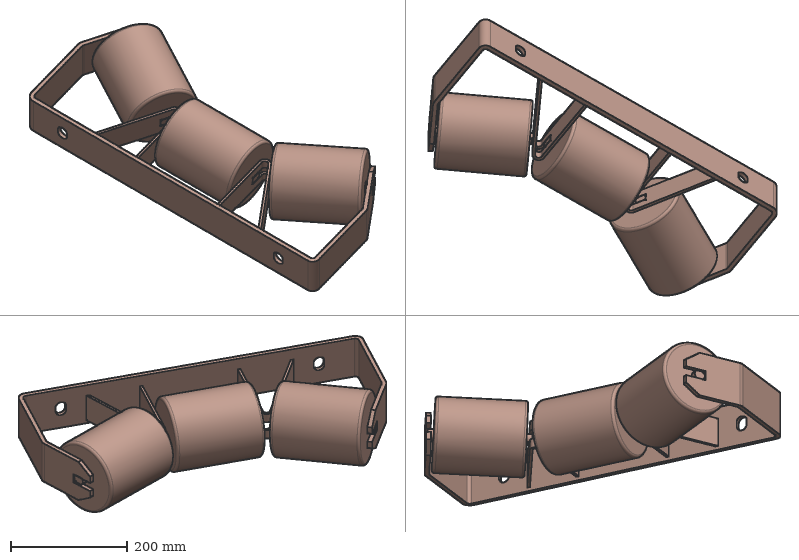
import cadquery as cq
import math

SPLAY = 30.0
SIN = math.sin(math.radians(SPLAY))
COS = math.cos(math.radians(SPLAY))
HALF_TAN = math.tan(math.radians(SPLAY / 2))

FRAME_LENGTH = 620.0
FRAME_HEIGHT = 80.0
FRAME_THICKNESS = 8.0
FRAME_BEND = 14.0
ARM_START = 152.5
ARM_LENGTH = 112.0
TIP_CHAMFER_LONG = 27.0
TIP_CHAMFER_SHORT = 18.0
MOUNT_SLOT_WIDTH = 19.0
MOUNT_SLOT_HEIGHT = 26.5
MOUNT_SLOT_X = 232.5

DRUM_DIAMETER = 132.5
DRUM_LENGTH = 160.0
DRUM_FILLET = 5.0
SHAFT_DIAMETER = 20.0
SHAFT_FLATS = 14.0
ROLLER_GAP = 5.5
SHOULDER_GAP = 2.0
MIDDLE_ROLLER_Y = 125.0
MIDDLE_ROLLER_Z = -7.5

BRACKET_THICKNESS = 5.0
BRACKET_HEIGHT = 51.5
BRACKET_CREST = 11.0
BRACKET_TOP = 153.0

SHAFT_SLOT_WIDTH = 17.0
SLOT_CUT_LENGTH = 124.0
SLOT_CUT_DEPTH = 18.5

SHAFT_LENGTH = DRUM_LENGTH + 2 * (ROLLER_GAP + BRACKET_THICKNESS)
FLATS_START = DRUM_LENGTH / 2 + ROLLER_GAP - SHOULDER_GAP
LEG_FACE_X = -(DRUM_LENGTH / 2 + ROLLER_GAP)
CREST_X = LEG_FACE_X - BRACKET_CREST
CREST_Y = BRACKET_TOP - BRACKET_CREST
ACROSS_TO_ROLLER = BRACKET_CREST + ROLLER_GAP + DRUM_LENGTH / 2
CREST_ABOVE_SHAFT = 15.0
ROLLER_X = CREST_X - ACROSS_TO_ROLLER * COS - CREST_ABOVE_SHAFT * SIN
ROLLER_Y = CREST_Y + ACROSS_TO_ROLLER * SIN - CREST_ABOVE_SHAFT * COS
ROLLER_Z = MIDDLE_ROLLER_Z / 2
TILT = math.degrees(math.asin(-MIDDLE_ROLLER_Z / SHAFT_LENGTH))


def bent_strip(centreline, bend_radius, thickness, height):
    """Sheet strip following a polyline in the XY plane, centred on Z = 0."""
    path = cq.Wire.makePolygon([cq.Vector(x, y, 0) for x, y in centreline]).fillet(bend_radius)
    start = path.startPoint()
    profile = cq.Plane(origin=start.toTuple(), xDir=(0, 0, 1), normal=path.tangentAt(0).toTuple())
    return cq.Workplane(profile).rect(height, thickness).sweep(cq.Workplane(path))


def shaft_slot(x, y, z, angle):
    """Cutter for a slot that the shaft drops into; it opens along +Y turned by angle about Z."""
    cutter = cq.Workplane("XY").box(
        SLOT_CUT_DEPTH, SLOT_CUT_LENGTH, SHAFT_SLOT_WIDTH, centered=(True, False, True))
    cutter = cutter.translate((0, -SHAFT_DIAMETER / 2, 0)).rotate((0, 0, 0), (0, 0, 1), angle)
    return cutter.translate((x, y, z))


def both_sides(left):
    return [left, left.mirror("YZ")]


def make_frame():
    half = FRAME_LENGTH / 2
    inset = FRAME_THICKNESS / 2
    bend_shift = inset * HALF_TAN
    side_x = half - inset
    bend_y = ARM_START - bend_shift
    arm_run = ARM_LENGTH - bend_shift
    tip_x = side_x - arm_run * SIN
    tip_y = bend_y + arm_run * COS
    right = [(side_x, inset), (side_x, bend_y), (tip_x, tip_y)]
    left = [(-x, y) for x, y in reversed(right)]
    frame = bent_strip(left + right, FRAME_BEND - inset, FRAME_THICKNESS, FRAME_HEIGHT)

    mount_slots = (
        cq.Workplane("XZ").pushPoints([(-MOUNT_SLOT_X, 0), (MOUNT_SLOT_X, 0)])
        .slot2D(MOUNT_SLOT_HEIGHT, MOUNT_SLOT_WIDTH, 90).extrude(FRAME_THICKNESS, both=True)
    )
    frame = frame.cut(mount_slots)

    edge = FRAME_HEIGHT / 2
    corner = cq.Workplane("YZ").polyline([
        (-TIP_CHAMFER_LONG, edge), (0, edge), (0, edge - TIP_CHAMFER_SHORT)]).close()
    corner = corner.extrude(FRAME_THICKNESS, both=True)
    corners = corner.union(corner.mirror("XY"))
    corners = corners.rotate((0, 0, 0), (0, 0, 1), -SPLAY).translate((-tip_x, tip_y, 0))
    seat_distance = DRUM_LENGTH / 2 + ROLLER_GAP + FRAME_THICKNESS / 2
    seat = shaft_slot(
        ROLLER_X - seat_distance * COS, ROLLER_Y + seat_distance * SIN, 0, -SPLAY)
    for cutter in both_sides(corners) + both_sides(seat):
        frame = frame.cut(cutter)
    return frame


def make_bracket():
    middle_radius = BRACKET_CREST - BRACKET_THICKNESS / 2
    apex_x = CREST_X + middle_radius
    apex_y = CREST_Y + middle_radius / HALF_TAN
    inclined_foot = (apex_x - apex_y * SIN / COS, 0)
    upright_foot = (apex_x, 0)
    bracket = bent_strip(
        [inclined_foot, (apex_x, apex_y), upright_foot],
        middle_radius, BRACKET_THICKNESS, BRACKET_HEIGHT)
    bracket = bracket.translate((0, 0, MIDDLE_ROLLER_Z))
    base_space = cq.Workplane("XY").box(FRAME_LENGTH, 2 * FRAME_THICKNESS, FRAME_LENGTH)
    seat_distance = DRUM_LENGTH / 2 + ROLLER_GAP + BRACKET_THICKNESS / 2
    upright_seat = shaft_slot(-seat_distance, MIDDLE_ROLLER_Y, MIDDLE_ROLLER_Z, 0)
    inclined_seat = shaft_slot(
        ROLLER_X + seat_distance * COS, ROLLER_Y - seat_distance * SIN, MIDDLE_ROLLER_Z, -SPLAY)
    return bracket.cut(base_space).cut(upright_seat).cut(inclined_seat)


def bar_along_x(diameter, length):
    return cq.Workplane("YZ", origin=(-length / 2, 0, 0)).circle(diameter / 2).extrude(length)


def make_roller():
    """Roller along X, centred on the origin, with the shaft flats facing +Z and -Z."""
    drum = bar_along_x(DRUM_DIAMETER, DRUM_LENGTH).edges("%CIRCLE").fillet(DRUM_FILLET)
    shaft = bar_along_x(SHAFT_DIAMETER, SHAFT_LENGTH)
    thick = cq.Workplane("XY").box(2 * FLATS_START, SHAFT_DIAMETER, SHAFT_DIAMETER)
    flat = cq.Workplane("XY").box(SHAFT_LENGTH, SHAFT_DIAMETER, SHAFT_FLATS)
    return drum.union(shaft.intersect(thick.union(flat)))


def make_left_roller():
    roller = make_roller().rotate((0, 0, 0), (0, 1, 0), TILT)
    roller = roller.rotate((0, 0, 0), (0, 0, 1), -SPLAY)
    return roller.translate((ROLLER_X, ROLLER_Y, ROLLER_Z))


frame = make_frame()
brackets = both_sides(make_bracket())
middle_roller = make_roller().translate((0, MIDDLE_ROLLER_Y, MIDDLE_ROLLER_Z))
rollers = [middle_roller] + both_sides(make_left_roller())

result = cq.Compound.makeCompound([body.val() for body in [frame] + brackets + rollers])